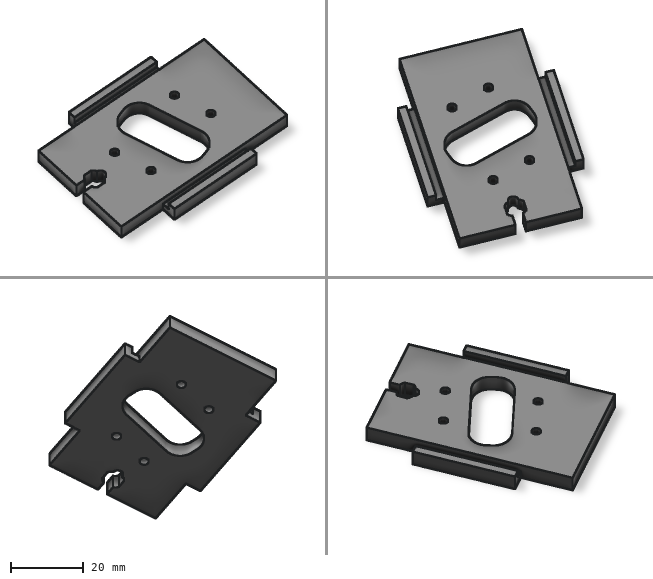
import cadquery as cq

plate_width = 35.0
plate_length = 60.0
thickness = 4.8

rail_length = 29.8
rail_reach = 4.8
lip_width = rail_reach / 2
ledge_height = thickness / 2

tilt_angle = 16.8
window_length = 27.0
window_width = 12.0
window_center_y = 0.25
window_corner_radius = 5.0
hole_diameter = 2.5
hole_pitch = 11.85
hole_row_spacing = 25.7
hole_row_shift = 1.55

notch_width = 3.0
notch_depth = 9.0
chamber_width = 5.5
chamber_side_length = 2.6
chamber_throat_length = 4.5
chamber_center_offset = 5.3
chamber_shoulder_radius = 2.0


def block(width, length, height, center_x=0.0, center_y=0.0):
    """Upright block standing on Z = 0."""
    return (
        cq.Workplane("XY")
        .center(center_x, center_y)
        .rect(width, length)
        .extrude(height)
    )


def side_rail(side):
    """Ledge with an upright outer lip; side is +1 for +X and -1 for -X."""
    ledge_x = side * (plate_width + rail_reach) / 2
    lip_x = side * (plate_width / 2 + rail_reach - lip_width / 2)
    ledge = block(rail_reach, rail_length, ledge_height, ledge_x)
    lip = block(lip_width, rail_length, thickness, lip_x)
    return ledge.union(lip)


def tilted_plane():
    """Base plane turned by the tilt shared by the window and the screw holes."""
    return cq.Workplane("XY").transformed(rotate=(0, 0, tilt_angle))


def window():
    """Through opening with rounded corners, set slightly towards +Y."""
    return (
        tilted_plane()
        .rect(window_length, window_width)
        .extrude(thickness)
        .edges("|Z")
        .fillet(window_corner_radius)
        .translate((0, window_center_y, 0))
    )


def screw_holes():
    """Two rows of two holes, the rows shifted in opposite directions along the tilt."""
    centers = []
    for row in (-1, 1):
        for end in (-1, 1):
            along = row * hole_row_shift + end * hole_pitch / 2
            across = row * hole_row_spacing / 2
            centers.append((along, across))
    return tilted_plane().pushPoints(centers).circle(hole_diameter / 2).extrude(thickness)


def notch_chamber():
    """Flat-sided chamber whose curved shoulders run in to the slot walls, centred on the origin."""
    side_x = chamber_width / 2
    side_y = chamber_side_length / 2
    throat_x = notch_width / 2
    throat_y = chamber_throat_length / 2
    return (
        cq.Workplane("XY")
        .moveTo(side_x, -side_y)
        .lineTo(side_x, side_y)
        .radiusArc((throat_x, throat_y), -chamber_shoulder_radius)
        .lineTo(-throat_x, throat_y)
        .radiusArc((-side_x, side_y), -chamber_shoulder_radius)
        .lineTo(-side_x, -side_y)
        .radiusArc((-throat_x, -throat_y), -chamber_shoulder_radius)
        .lineTo(throat_x, -throat_y)
        .radiusArc((side_x, -side_y), -chamber_shoulder_radius)
        .close()
        .extrude(thickness)
    )


def keyhole_notch():
    """Round-ended slot open at the -Y edge, widened by a rounded chamber."""
    edge_y = -plate_length / 2
    straight_length = notch_depth - notch_width / 2
    slot = block(notch_width, straight_length, thickness, 0.0, edge_y + straight_length / 2)
    slot_end = (
        cq.Workplane("XY")
        .center(0, edge_y + straight_length)
        .circle(notch_width / 2)
        .extrude(thickness)
    )
    chamber = notch_chamber().translate((0, edge_y + chamber_center_offset, 0))
    return slot.union(slot_end).union(chamber)


body = block(plate_width, plate_length, thickness)
for side in (-1, 1):
    body = body.union(side_rail(side))

result = body.cut(window()).cut(screw_holes()).cut(keyhole_notch())